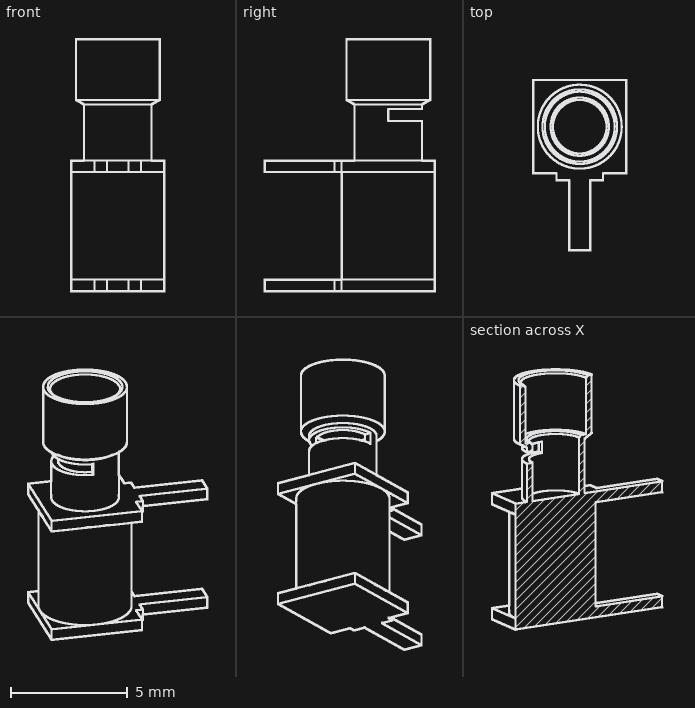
import cadquery as cq

plate_side = 4.0
plate_thickness = 0.5
shoulder_width = 2.0
shoulder_length = 0.3
pin_width = 0.9
pin_length = 3.0

total_height = 10.8
barrel_radius = plate_side / 2
barrel_height = 4.6
neck_radius = 1.45
neck_height = 2.4
head_radius = 1.8
head_taper_height = 0.2

socket_radius = 1.5
socket_depth = 2.6
socket_lead_in = 0.1
inner_bore_radius = 1.15
inner_bore_lead_in = 0.1

slot_height = 0.5
slot_below_head = 0.2

barrel_bottom = plate_thickness
upper_plate_bottom = barrel_bottom + barrel_height
neck_bottom = upper_plate_bottom + plate_thickness
head_bottom = neck_bottom + neck_height
head_wall_bottom = head_bottom + head_taper_height
socket_floor = total_height - socket_depth
inner_bore_floor = neck_bottom


def make_plate(bottom):
    """Square plate with its shoulder and pin, resting at the given height."""
    shoulder_y = -plate_side / 2 - shoulder_length
    pin_y = shoulder_y - pin_length

    left_side = [
        (-plate_side / 2, plate_side / 2),
        (-plate_side / 2, -plate_side / 2),
        (-shoulder_width / 2, -plate_side / 2),
        (-shoulder_width / 2, shoulder_y),
        (-pin_width / 2, shoulder_y),
        (-pin_width / 2, pin_y),
    ]
    right_side = [(-x, y) for x, y in reversed(left_side)]
    outline = left_side + right_side
    return (
        cq.Workplane("XY", origin=(0, 0, bottom))
        .polyline(outline)
        .close()
        .extrude(plate_thickness)
    )


def make_turned_body():
    """Barrel, neck and head turned about Z, with the stepped socket open at the top."""
    profile = [
        (0, barrel_bottom),
        (barrel_radius, barrel_bottom),
        (barrel_radius, upper_plate_bottom),
        (neck_radius, upper_plate_bottom),
        (neck_radius, head_bottom),
        (head_radius, head_wall_bottom),
        (head_radius, total_height),
        (socket_radius + socket_lead_in, total_height),
        (socket_radius, total_height - socket_lead_in),
        (socket_radius, socket_floor),
        (inner_bore_radius + inner_bore_lead_in, socket_floor),
        (inner_bore_radius, socket_floor - inner_bore_lead_in),
        (inner_bore_radius, inner_bore_floor),
        (0, inner_bore_floor),
    ]
    return cq.Workplane("XZ").polyline(profile).close().revolve(360, (0, 0, 0), (0, 1, 0))


def make_slot():
    """Cutter that opens the +Y half of the hollow neck over the slot height."""
    slot_bottom = head_bottom - slot_below_head - slot_height
    slot_width = 2 * head_radius
    slot_reach = head_radius
    return (
        cq.Workplane("XY", origin=(0, slot_reach / 2, slot_bottom))
        .rect(slot_width, slot_reach)
        .extrude(slot_height)
    )


body = make_turned_body().cut(make_slot())
result = body.union(make_plate(0)).union(make_plate(upper_plate_bottom))